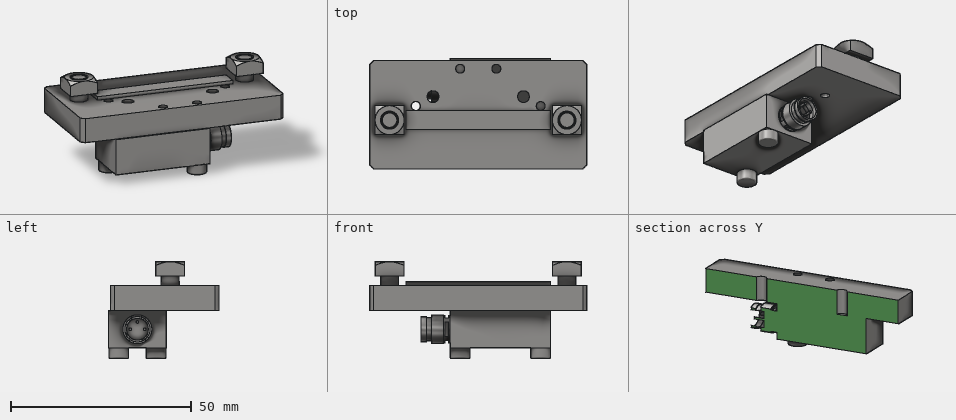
import cadquery as cq

PLATE_LENGTH = 60.0
PLATE_WIDTH = 30.0
PLATE_THICKNESS = 7.0
PLATE_CORNER_CHAMFER = 1.1

STRIP_LENGTH = 40.0
STRIP_WIDTH = 5.2
STRIP_HEIGHT = 1.0
NUT_LINE_Y = -1.5

NUT_SPACING = 49.0
NUT_SIDE = 8.0
NUT_HEIGHT = 4.0
NUT_CORNER_DROP = 1.0
NUT_DIAGONAL = NUT_SIDE * 2 ** 0.5
POST_DIAMETER = 5.0
POST_HEIGHT = 2.5
GROOVE_OUTER_DIAMETER = 5.0
GROOVE_INNER_DIAMETER = 4.0
GROOVE_DEPTH = (GROOVE_OUTER_DIAMETER - GROOVE_INNER_DIAMETER) / 4

BLOCK_LENGTH = 27.8
BLOCK_WIDTH = 16.0
BLOCK_HEIGHT = 10.3
BLOCK_OVERHANG = 0.55
BLOCK_RIGHT_X = STRIP_LENGTH / 2
BLOCK_LEFT_X = BLOCK_RIGHT_X - BLOCK_LENGTH
BLOCK_BACK_Y = PLATE_WIDTH / 2 + BLOCK_OVERHANG
BLOCK_CENTRE_Y = BLOCK_BACK_Y - BLOCK_WIDTH / 2
BLOCK_BOTTOM_Z = -PLATE_THICKNESS - BLOCK_HEIGHT

THREAD_HOLE_DIAMETER = 2.46
CLEARANCE_HOLE_DIAMETER = 3.24
BACK_HOLE_X, BACK_HOLE_Y = 5.0, 12.7
FRONT_HOLE_X, FRONT_HOLE_Y = 17.25, 2.4
CLEARANCE_HOLE_X, CLEARANCE_HOLE_Y = 12.5, 5.0

SCREW_POSITIONS = [(-BACK_HOLE_X, BACK_HOLE_Y), (FRONT_HOLE_X, FRONT_HOLE_Y)]
SCREW_HEAD_DIAMETER = 5.5
SCREW_HEAD_HEIGHT = 3.0
SCREW_HEAD_FILLET = 0.4
SCREW_LENGTH = 16.0

CONNECTOR_COLLAR = (0.4, 7.5)
CONNECTOR_FLATS = (1.05, 7.5)
CONNECTOR_STEPS = [
    CONNECTOR_COLLAR,
    CONNECTOR_FLATS,
    CONNECTOR_COLLAR,
    (3.2, 8.0),
    (1.5, 6.5),
    (1.5, 7.0),
]
CONNECTOR_LENGTH = sum(length for length, _ in CONNECTOR_STEPS)
CONNECTOR_Z = -PLATE_THICKNESS - BLOCK_HEIGHT / 2
ACROSS_FLATS = 6.3
SOCKET_DIAMETER = 6.0
SOCKET_DEPTH = 4.0
PIN_DIAMETER = 0.7
PIN_LENGTH = 3.0
PIN_CIRCLE_RADIUS = 2.0
PIN_OFFSETS = [(-PIN_CIRCLE_RADIUS, 0), (PIN_CIRCLE_RADIUS, 0), (0, PIN_CIRCLE_RADIUS)]


def cylinder_up(x, y, bottom_z, diameter, height):
    return cq.Workplane("XY", origin=(x, y, bottom_z)).circle(diameter / 2).extrude(height)


def cylinder_left(right_x, y, z, diameter, length):
    """Cylinder along X that runs from right_x towards -X."""
    return cq.Workplane("YZ", origin=(right_x, y, z)).circle(diameter / 2).extrude(-length)


def make_plate():
    plate = (
        cq.Workplane("XY", origin=(0, 0, -PLATE_THICKNESS))
        .rect(PLATE_LENGTH, PLATE_WIDTH)
        .extrude(PLATE_THICKNESS)
        .edges("|Z")
        .chamfer(PLATE_CORNER_CHAMFER)
    )
    hole_pairs = [
        (BACK_HOLE_X, BACK_HOLE_Y, THREAD_HOLE_DIAMETER),
        (FRONT_HOLE_X, FRONT_HOLE_Y, THREAD_HOLE_DIAMETER),
        (CLEARANCE_HOLE_X, CLEARANCE_HOLE_Y, CLEARANCE_HOLE_DIAMETER),
    ]
    for x, y, diameter in hole_pairs:
        for side in (-1, 1):
            plate = plate.cut(cylinder_up(side * x, y, -PLATE_THICKNESS, diameter, PLATE_THICKNESS))
    return plate


def make_strip():
    return cq.Workplane("XY", origin=(0, NUT_LINE_Y, 0)).rect(STRIP_LENGTH, STRIP_WIDTH).extrude(STRIP_HEIGHT)


def make_nut_on_post(x):
    nut_top_z = POST_HEIGHT + NUT_HEIGHT
    square = (
        cq.Workplane("XY", origin=(x, NUT_LINE_Y, POST_HEIGHT))
        .rect(NUT_SIDE, NUT_SIDE)
        .extrude(NUT_HEIGHT)
    )
    corner_cone = (
        cq.Workplane("XZ", origin=(x, NUT_LINE_Y, POST_HEIGHT))
        .lineTo(NUT_DIAGONAL / 2, 0)
        .lineTo(NUT_DIAGONAL / 2, NUT_HEIGHT - NUT_CORNER_DROP)
        .lineTo(NUT_SIDE / 2, NUT_HEIGHT)
        .lineTo(0, NUT_HEIGHT)
        .close()
        .revolve(360, (0, 0), (0, 1))
    )
    groove_mid_radius = (GROOVE_OUTER_DIAMETER + GROOVE_INNER_DIAMETER) / 4
    groove = (
        cq.Workplane("XZ", origin=(x, NUT_LINE_Y, nut_top_z))
        .moveTo(GROOVE_INNER_DIAMETER / 2, 0)
        .lineTo(groove_mid_radius, -GROOVE_DEPTH)
        .lineTo(GROOVE_OUTER_DIAMETER / 2, 0)
        .close()
        .revolve(360, (0, 0), (0, 1))
    )
    post = cylinder_up(x, NUT_LINE_Y, 0, POST_DIAMETER, POST_HEIGHT)
    return square.intersect(corner_cone).cut(groove).union(post)


def make_block():
    block_centre_x = (BLOCK_LEFT_X + BLOCK_RIGHT_X) / 2
    return (
        cq.Workplane("XY", origin=(block_centre_x, BLOCK_CENTRE_Y, BLOCK_BOTTOM_Z))
        .rect(BLOCK_LENGTH, BLOCK_WIDTH)
        .extrude(BLOCK_HEIGHT)
    )


def make_screw(x, y):
    head_bottom_z = BLOCK_BOTTOM_Z - SCREW_HEAD_HEIGHT
    head = cylinder_up(x, y, head_bottom_z, SCREW_HEAD_DIAMETER, SCREW_HEAD_HEIGHT)
    head = head.faces("<Z").edges().fillet(SCREW_HEAD_FILLET)
    shank = cylinder_up(x, y, BLOCK_BOTTOM_Z, THREAD_HOLE_DIAMETER, SCREW_LENGTH)
    return head.union(shank)


def make_connector():
    connector = cq.Workplane("XY")
    x = BLOCK_LEFT_X
    for step in CONNECTOR_STEPS:
        length, diameter = step
        section = cylinder_left(x, BLOCK_CENTRE_Y, CONNECTOR_Z, diameter, length)
        if step is CONNECTOR_FLATS:
            flats = (
                cq.Workplane("YZ", origin=(x, BLOCK_CENTRE_Y, CONNECTOR_Z))
                .rect(ACROSS_FLATS, ACROSS_FLATS)
                .extrude(-length)
            )
            section = section.intersect(flats)
        connector = connector.union(section)
        x -= length

    socket_floor_x = BLOCK_LEFT_X - CONNECTOR_LENGTH + SOCKET_DEPTH
    connector = connector.cut(
        cylinder_left(socket_floor_x, BLOCK_CENTRE_Y, CONNECTOR_Z, SOCKET_DIAMETER, SOCKET_DEPTH)
    )
    for pin_y, pin_z in PIN_OFFSETS:
        pin = cylinder_left(
            socket_floor_x, BLOCK_CENTRE_Y + pin_y, CONNECTOR_Z + pin_z, PIN_DIAMETER, PIN_LENGTH
        )
        connector = connector.union(pin)
    return connector


result = make_plate().union(make_strip()).union(make_block()).union(make_connector())
for side in (-1, 1):
    result = result.union(make_nut_on_post(side * NUT_SPACING / 2))
for screw_x, screw_y in SCREW_POSITIONS:
    result = result.union(make_screw(screw_x, screw_y))